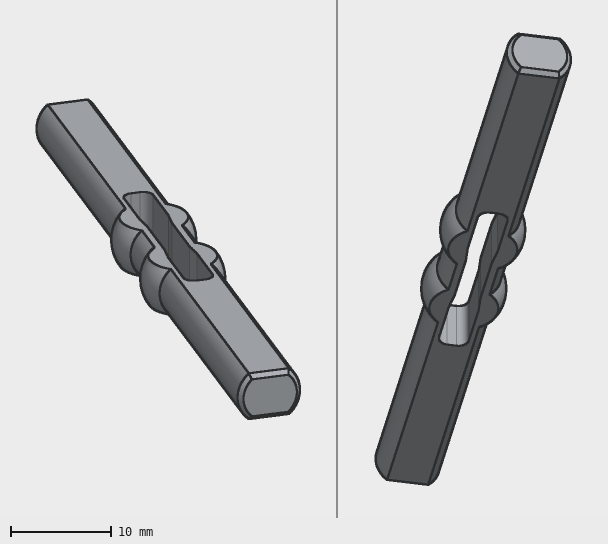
import cadquery as cq

bar_length = 68.75
bar_diameter = 6.5
flat_thickness = 5.0
end_chamfer = 0.5

bulge_diameter = 8.5
bulge_offset = 4.9

slot_length = 22.0
slot_width = 3.0
slot_corner_radius = 1.0
pinch_width = 2.6
pinch_half_length = 2.9


def rod():
    return (
        cq.Workplane("YZ")
        .circle(bar_diameter / 2)
        .extrude(bar_length / 2, both=True)
    )


def bulges():
    centers = [(-bulge_offset, 0), (bulge_offset, 0)]
    return cq.Workplane("XY").pushPoints(centers).sphere(bulge_diameter / 2)


def flats_envelope():
    return cq.Workplane("XY").box(bar_length, bulge_diameter, flat_thickness)


def pinched_slot():
    """Slot cutter whose side walls taper inward between the bulge centers."""
    half_length = slot_length / 2
    half_width = slot_width / 2
    half_pinch = pinch_width / 2
    upper_wall = [
        (-half_length, half_width),
        (-bulge_offset, half_width),
        (-pinch_half_length, half_pinch),
        (pinch_half_length, half_pinch),
        (bulge_offset, half_width),
        (half_length, half_width),
    ]
    lower_wall = [(x, -y) for x, y in reversed(upper_wall)]
    return (
        cq.Workplane("XY")
        .polyline(upper_wall + lower_wall)
        .close()
        .extrude(flat_thickness, both=True)
        .edges("|Z and (<X or >X)")
        .fillet(slot_corner_radius)
    )


bar = rod().intersect(flats_envelope()).faces("<X or >X").chamfer(end_chamfer)
bulge_pair = bulges().intersect(flats_envelope())
result = bar.union(bulge_pair).cut(pinched_slot())